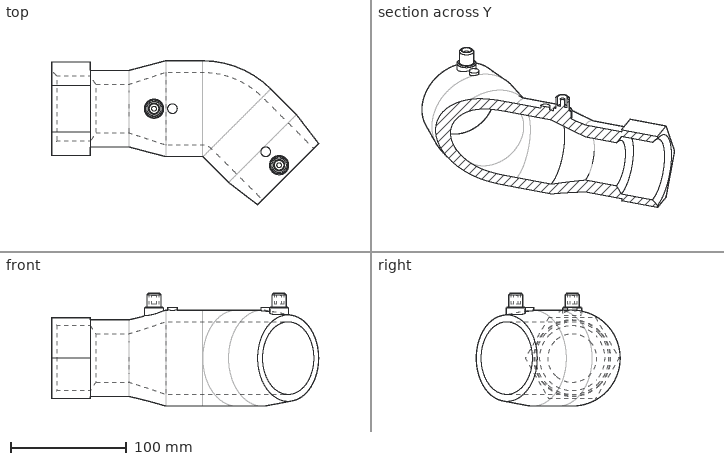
import cadquery as cq
import math

hex_length = 33.5
hex_across_flats = 70.0
neck_radius = 33.2
neck_end = 66.8

body_radius = 41.5
cone_length = 31.5
straight_length = 31.8
bend_radius = 41.7
bend_angle = 45
outlet_straight = 31.3
outlet_length = 62.7
outlet_radius = 37.3

mouth_chamfer = 4.5
socket_radius = 28.0
socket_depth = 33.5
throat_radius = 21.0
seat_length = 4.5
body_bore_radius = 31.3

terminal_x = 88.2
button_x = 104.1
outlet_terminal_distance = 51.5
outlet_button_distance = 35.3
root_height = 35.7
collar_radius = 8.3
collar_top = 44.0
collar_chamfer = 1.0
post_radius = 6.2
post_top = 56.0
post_chamfer = 1.4
contact_well_radius = 4.1
contact_well_depth = 9.2
pin_radius = 2.0
pin_recess = 2.0
button_radius = 4.1
button_top = 43.8

cone_end = neck_end + cone_length
bend_start = cone_end + straight_length
bend_rad = math.radians(bend_angle)
axis_x = math.cos(bend_rad)
axis_y = -math.sin(bend_rad)
bend_end_x = bend_start + bend_radius * math.sin(bend_rad)
bend_end_y = -bend_radius * (1 - math.cos(bend_rad))


def outlet_point(distance):
    """Point on the outlet axis at a distance from the end of the bend."""
    return bend_end_x + distance * axis_x, bend_end_y + distance * axis_y


def revolve_about_x(profile):
    """Solid of revolution about X from (x, radius) points."""
    points = [(profile[0][0], 0)] + profile + [(profile[-1][0], 0)]
    return cq.Workplane("XY").polyline(points).close().revolve(360, (0, 0, 0), (1, 0, 0))


def bend(radius):
    """Round bend turning from +X towards -Y."""
    return (
        cq.Workplane("YZ", origin=(bend_start, 0, 0))
        .circle(radius)
        .revolve(bend_angle, (-bend_radius, 2.3, 0), (-bend_radius, 0, 0))
    )


def outlet(profile):
    """Solid of revolution about the outlet axis."""
    turned = revolve_about_x(profile).rotate((0, 0, 0), (0, 0, 1), -bend_angle)
    return turned.translate((bend_end_x, bend_end_y, 0))


def upright_cylinder(x, y, radius, bottom, top):
    return cq.Workplane("XY", origin=(x, y, bottom)).circle(radius).extrude(top - bottom)


def terminal(x, y):
    """Collared hollow post with a contact pin inside."""
    collar = upright_cylinder(x, y, collar_radius, root_height, collar_top)
    collar = collar.faces(">Z").chamfer(collar_chamfer)
    post = upright_cylinder(x, y, post_radius, root_height, post_top)
    post = post.faces(">Z").chamfer(post_chamfer)
    well_floor = post_top - contact_well_depth
    well = upright_cylinder(x, y, contact_well_radius, well_floor, post_top)
    pin = upright_cylinder(x, y, pin_radius, root_height, post_top - pin_recess)
    return collar.union(post).cut(well).union(pin)


def button(x, y):
    return upright_cylinder(x, y, button_radius, root_height, button_top)


hex_nut = (
    cq.Workplane("YZ")
    .polygon(6, hex_across_flats / math.cos(math.pi / 6))
    .extrude(hex_length)
)
inlet_body = revolve_about_x([
    (0, neck_radius),
    (neck_end, neck_radius),
    (cone_end, body_radius),
    (bend_start, body_radius),
])
outlet_body = outlet([
    (0, body_radius),
    (outlet_straight, body_radius),
    (outlet_length, outlet_radius),
])
result = hex_nut.union(inlet_body).union(bend(body_radius)).union(outlet_body)

result = result.union(terminal(terminal_x, 0)).union(button(button_x, 0))
result = result.union(terminal(*outlet_point(outlet_terminal_distance)))
result = result.union(button(*outlet_point(outlet_button_distance)))

inlet_bore = revolve_about_x([
    (0, socket_radius + mouth_chamfer),
    (mouth_chamfer, socket_radius),
    (socket_depth, socket_radius),
    (socket_depth + seat_length, throat_radius),
    (neck_end, throat_radius),
    (cone_end, body_bore_radius),
    (bend_start, body_bore_radius),
])
outlet_bore = outlet([(0, body_bore_radius), (outlet_length, body_bore_radius)])
result = result.cut(inlet_bore).cut(bend(body_bore_radius)).cut(outlet_bore)